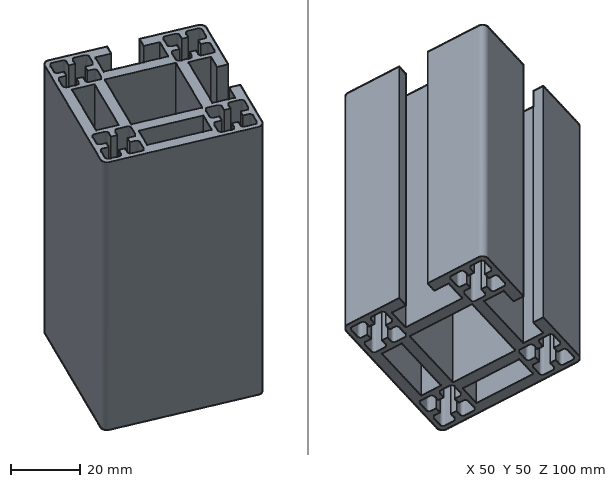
import cadquery as cq

side = 50.0
length = 100.0
outer_radius = 2.0

core_side = 22.0

chamber_width = 20.0
chamber_depth = 7.0
chamber_wall = 3.5
slot_opening = 10.0

cell_side = 12.0
cell_wall = 1.5
rib_width = 2.0
rib_gap = 6.5
lobe_radius = 1.0

half_side = side / 2
chamber_offset = half_side - chamber_wall - chamber_depth / 2
mouth_offset = half_side - chamber_wall / 2
cell_offset = half_side - cell_wall - cell_side / 2
lobe_side = (cell_side - rib_width) / 2
lobe_offset = (rib_width + lobe_side) / 2


def bar(width, depth, x=0.0, y=0.0):
    """Rectangular bar over the full length, centred on (x, y)."""
    return cq.Workplane("XY").center(x, y).rect(width, depth).extrude(length)


def corner_cell(x, y):
    """Corner void: four rounded lobes joined by a square between the rib tips."""
    void = bar(rib_gap, rib_gap, x, y)
    for step_x in (-lobe_offset, lobe_offset):
        for step_y in (-lobe_offset, lobe_offset):
            lobe = bar(lobe_side, lobe_side, x + step_x, y + step_y)
            void = void.union(lobe.edges("|Z").fillet(lobe_radius))
    return void


result = bar(side, side).edges("|Z").fillet(outer_radius)
result = result.cut(bar(core_side, core_side))

for sign in (-1, 1):
    result = result.cut(bar(chamber_depth, chamber_width, x=sign * chamber_offset))
    result = result.cut(bar(chamber_width, chamber_depth, y=sign * chamber_offset))

result = result.cut(bar(chamber_wall, slot_opening, x=-mouth_offset))
result = result.cut(bar(slot_opening, chamber_wall, y=mouth_offset))

for cell_x in (-cell_offset, cell_offset):
    for cell_y in (-cell_offset, cell_offset):
        result = result.cut(corner_cell(cell_x, cell_y))